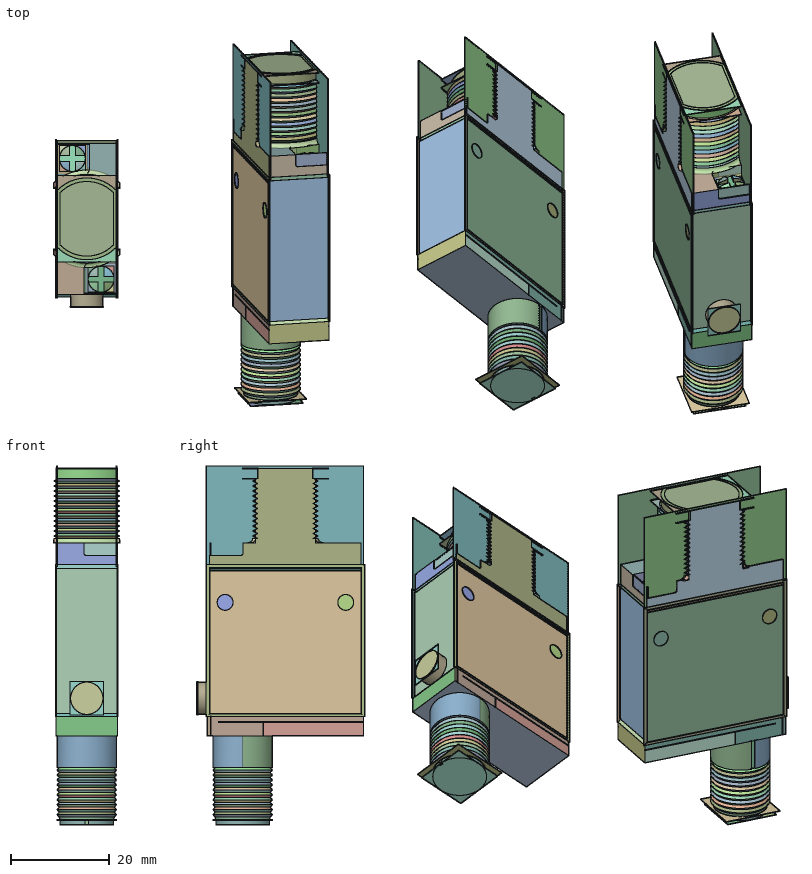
import cadquery as cq
import math

CAP_BOTTOM = 18.0
MIDDLE_BOTTOM = 21.9
MIDDLE_TOP = 52.6
SHOULDER_TOP = 57.05
HALF_X = 6.2
HALF_Y = 15.3
CAP_HALF_X = 6.25
CAP_HALF_Y = 15.8
CAP_BEVEL_HEIGHT = 0.6
BAND_DEPTH = 0.1
BAND_HEIGHT = 0.7
OVERLAP = 0.35

SHEET_TOP = 72.6
SHEET_THICKNESS = 0.2
UPRIGHT_OUTER_X = 6.1
SIDE_OUTER_X = 6.3
SHEET_HALF_Y = 16.05
UPRIGHT_BACK_Y = 15.8

THREAD_PITCH = 1.0
TOWER_CREST_RADIUS = 9.0
TOWER_ROOT_RADIUS = 8.35
TOWER_THREAD_TOP = 70.0
FLARE_RADIUS = 0.9
TOWER_THREAD_BOTTOM = SHOULDER_TOP + FLARE_RADIUS
COLLAR_RADIUS = 8.3
TOWER_TOP = 72.1
TIP_WIDTH = 13.4
TIP_START_Y = 6.1
FLANGE_HALF_Y = 8.7
FLANGE_THICKNESS = 0.15
LENS_RADIUS = 7.55
LENS_HALF_X = 5.4
LENS_LINE_DEPTH = 0.1

POCKET_FLOOR = 54.5
POCKET_INNER_Y = 8.55
POCKET_OVERSHOOT_X = 0.6
POCKET_ROUND = 0.4
POCKET_CORNER_ROUND = 1.75
END_WALL = 0.3
END_NOTCH_DEPTH = 0.1
SCREW_X = 2.9
SCREW_Y = 12.2
SCREW_RADIUS = 2.6
SCREW_HEIGHT = 1.9
SCREW_RIM_HEIGHT = 1.15
SCREW_SLOT_WIDTH = 1.15
SCREW_SLOT_FLOOR = 0.9
WASHER_SIDE = 5.2
WASHER_HEIGHT = 0.6

MARKER_RADIUS = 1.6
MARKER_Y = 12.2
MARKER_Z = 45.0
MARKER_DEPTH = 0.15

SEAM_WIDTH = 0.15
SEAM_DEPTH = 0.1
MIDDLE_SEAMS_Z = (22.5, 51.45, 51.95)
CAP_SEAM_Z = 20.8
CAP_SEAM_START_Y = -13.5
CAP_JOINT_Y = -4.5
CAP_EDGE_SEAM_Y = -15.1

BUTTON_RADIUS = 3.3
BUTTON_Z = 25.6
BUTTON_LENGTH = 2.6
BUTTON_RECESS = 0.1
BUTTON_PLATE_SIDE = 6.8
BUTTON_PLATE_THICKNESS = 0.15

CONNECTOR_Y = -8.6
CONNECTOR_CREST_RADIUS = 6.0
CONNECTOR_ROOT_RADIUS = 5.6
CONNECTOR_THREAD_TOP = 11.6
CONNECTOR_THREAD_BOTTOM = 1.6
CONNECTOR_TIP_RADIUS = 5.45
CONNECTOR_SHOULDER_Z = 0.95
CONNECTOR_PLATE_THICKNESS = 0.15
KEYWAY_WIDTH = 0.9
KEYWAY_DEPTH = 0.3
TIP_NOTCH_WIDTH = 0.7
TIP_NOTCH_DEPTH = 0.4


def box(x0, x1, y0, y1, z0, z1):
    """Block spanning the given limits."""
    return cq.Workplane("XY").box(x1 - x0, y1 - y0, z1 - z0, centered=False).translate((x0, y0, z0))


def thread_points(root, crest, bottom, top):
    """Zigzag half-profile of evenly spaced thread ridges, from bottom to top."""
    ridge_count = round((top - bottom) / THREAD_PITCH)
    pitch = (top - bottom) / ridge_count
    points = [(root, bottom)]
    for ridge in range(ridge_count):
        points.append((crest, bottom + (ridge + 0.5) * pitch))
        points.append((root, bottom + (ridge + 1) * pitch))
    return points


def side_core(half_x):
    """Full-height block used to limit engravings to a shallow depth on the X sides."""
    return box(-half_x, half_x, -SHEET_HALF_Y, SHEET_HALF_Y, CAP_BOTTOM, SHOULDER_TOP)


def make_housing():
    """Cap with sloping ledges on its Y sides, and body with a shallow band across both Y faces."""
    ledge_top = MIDDLE_BOTTOM + CAP_BEVEL_HEIGHT
    cap_outline = [
        (-CAP_HALF_Y, CAP_BOTTOM), (CAP_HALF_Y, CAP_BOTTOM), (CAP_HALF_Y, MIDDLE_BOTTOM),
        (HALF_Y, ledge_top), (-HALF_Y, ledge_top), (-CAP_HALF_Y, MIDDLE_BOTTOM),
    ]
    cap = cq.Workplane("YZ").polyline(cap_outline).close().extrude(CAP_HALF_X, both=True)
    body = box(-HALF_X, HALF_X, -HALF_Y, HALF_Y, MIDDLE_BOTTOM, SHOULDER_TOP)
    band_half_y = HALF_Y - BAND_DEPTH
    band_bottom = MIDDLE_TOP - BAND_HEIGHT
    band = box(-HALF_X, HALF_X, -HALF_Y, HALF_Y, band_bottom, MIDDLE_TOP)
    band = band.cut(box(-HALF_X, HALF_X, -band_half_y, band_half_y, band_bottom, MIDDLE_TOP))
    return cap.union(body.cut(band))


def make_sheets(outer_x, y0, y1, z0, z1):
    """Matching pair of thin sheets on the two X sides."""
    inner_x = outer_x - SHEET_THICKNESS
    left = box(-outer_x, -inner_x, y0, y1, z0, z1)
    return left.union(box(inner_x, outer_x, y0, y1, z0, z1))


def make_seams(outer_x, lines):
    """Cutter for fine seam lines on both X sides, each line running from (y0, z0) to (y1, z1)."""
    half_seam = SEAM_WIDTH / 2
    core = side_core(outer_x - SEAM_DEPTH)
    seams = cq.Workplane("XY")
    for y0, z0, y1, z1 in lines:
        line = box(-outer_x, outer_x, y0 - half_seam, y1 + half_seam, z0 - half_seam, z1 + half_seam)
        seams = seams.add(line.cut(core))
    return seams.combine()


def make_end_notch():
    """Cutter that sets the thin end wall of the +X, -Y pocket slightly back from the shoulder face."""
    notch = box(
        -POCKET_OVERSHOOT_X, HALF_X, -HALF_Y, -HALF_Y + END_NOTCH_DEPTH,
        POCKET_FLOOR, SHOULDER_TOP,
    )
    return notch.edges("<X and <Z").fillet(POCKET_ROUND)


def make_pocket():
    """Cutter for the screw pocket in the +X, -Y corner."""
    pocket = box(
        -POCKET_OVERSHOOT_X, HALF_X, -HALF_Y + END_WALL, -POCKET_INNER_Y,
        POCKET_FLOOR, SHOULDER_TOP + OVERLAP,
    )
    pocket = pocket.edges("|Z and <X and >Y").fillet(POCKET_CORNER_ROUND)
    return pocket.edges("|Y and <X and <Z").fillet(POCKET_ROUND)


def make_screw():
    """Domed, cross-slotted screw head on a thin square washer, in the +X, -Y pocket."""
    shoulder_x = SCREW_RADIUS * math.sqrt(0.5)
    shoulder_z = SCREW_RIM_HEIGHT + 0.5 * (SCREW_HEIGHT - SCREW_RIM_HEIGHT)
    head = (
        cq.Workplane("XZ")
        .moveTo(0, -OVERLAP)
        .lineTo(SCREW_RADIUS, -OVERLAP)
        .lineTo(SCREW_RADIUS, SCREW_RIM_HEIGHT)
        .threePointArc((shoulder_x, shoulder_z), (0, SCREW_HEIGHT))
        .close()
        .revolve(360, (0, 0, 0), (0, 1, 0))
    )
    slot_length = 2 * SCREW_RADIUS
    slot_base = cq.Workplane("XY", origin=(0, 0, SCREW_SLOT_FLOOR))
    for size in ((slot_length, SCREW_SLOT_WIDTH), (SCREW_SLOT_WIDTH, slot_length)):
        head = head.cut(slot_base.rect(*size).extrude(SCREW_HEIGHT))
    half_washer = WASHER_SIDE / 2
    washer = box(-half_washer, half_washer, -half_washer, half_washer, -OVERLAP, WASHER_HEIGHT)
    return head.union(washer).translate((SCREW_X, -SCREW_Y, POCKET_FLOOR))


def make_tower():
    """Threaded tower with a flared foot, cut to flats that let the thread tips stick out."""
    flare_outer = TOWER_CREST_RADIUS + FLARE_RADIUS
    flare_mid = flare_outer - FLARE_RADIUS * math.sqrt(0.5)
    flare_mid_z = TOWER_THREAD_BOTTOM - FLARE_RADIUS * math.sqrt(0.5)
    thread = thread_points(TOWER_ROOT_RADIUS, TOWER_CREST_RADIUS, TOWER_THREAD_BOTTOM, TOWER_THREAD_TOP)
    turned = (
        cq.Workplane("XZ")
        .moveTo(0, SHOULDER_TOP - OVERLAP)
        .lineTo(POCKET_INNER_Y, SHOULDER_TOP - OVERLAP)
        .lineTo(POCKET_INNER_Y, SHOULDER_TOP)
        .lineTo(flare_outer, SHOULDER_TOP)
        .threePointArc((flare_mid, flare_mid_z), (TOWER_CREST_RADIUS, TOWER_THREAD_BOTTOM))
        .polyline(thread, includeCurrent=True)
        .lineTo(COLLAR_RADIUS, TOWER_THREAD_TOP)
        .lineTo(COLLAR_RADIUS, TOWER_TOP)
        .lineTo(0, TOWER_TOP)
        .close()
        .revolve(360, (0, 0, 0), (0, 1, 0))
    )
    reach = flare_outer + OVERLAP
    bottom = SHOULDER_TOP - OVERLAP
    envelope = box(-HALF_X, HALF_X, -reach, reach, bottom, TOWER_TOP)
    for y0, y1 in ((-reach, -TIP_START_Y), (TIP_START_Y, reach)):
        envelope = envelope.union(box(-TIP_WIDTH / 2, TIP_WIDTH / 2, y0, y1, bottom, TOWER_TOP))
    tower = turned.intersect(envelope)
    for top in (TOWER_TOP, TOWER_THREAD_TOP):
        tower = tower.union(
            box(-HALF_X, HALF_X, -FLANGE_HALF_Y, FLANGE_HALF_Y, top - FLANGE_THICKNESS, top)
        )
    return tower


def make_lens_line():
    """Shallow groove around the flat-sided lens window in the tower top."""
    base = cq.Workplane("XY", origin=(0, 0, TOWER_TOP - LENS_LINE_DEPTH))

    def window(radius, half_x):
        disc = base.circle(radius).extrude(OVERLAP)
        return disc.intersect(base.rect(2 * half_x, 2 * radius).extrude(OVERLAP))

    return window(COLLAR_RADIUS, HALF_X).cut(window(LENS_RADIUS, LENS_HALF_X))


def make_markers():
    """Cutter for the shallow round markers on both X sides."""
    spots = [(-MARKER_Y, MARKER_Z), (MARKER_Y, MARKER_Z)]
    through = cq.Workplane("YZ", origin=(-SIDE_OUTER_X, 0, 0)).pushPoints(spots)
    discs = through.circle(MARKER_RADIUS).extrude(2 * SIDE_OUTER_X)
    return discs.cut(side_core(SIDE_OUTER_X - MARKER_DEPTH))


def make_button():
    """Round button with a thin square plate just behind its end."""
    base = cq.Workplane("XZ", origin=(0, -HALF_Y + OVERLAP, BUTTON_Z))
    button = base.circle(BUTTON_RADIUS).extrude(BUTTON_LENGTH + OVERLAP)
    plate_start = BUTTON_LENGTH + OVERLAP - BUTTON_RECESS - BUTTON_PLATE_THICKNESS
    plate = base.workplane(offset=plate_start).rect(BUTTON_PLATE_SIDE, BUTTON_PLATE_SIDE)
    return button.union(plate.extrude(BUTTON_PLATE_THICKNESS))


def make_connector():
    """Threaded connector with a keyway, built on the Z axis and moved into place."""
    thread = thread_points(
        CONNECTOR_ROOT_RADIUS, CONNECTOR_CREST_RADIUS, CONNECTOR_THREAD_BOTTOM, CONNECTOR_THREAD_TOP
    )
    connector = (
        cq.Workplane("XZ")
        .moveTo(0, 0)
        .lineTo(CONNECTOR_TIP_RADIUS, 0)
        .lineTo(CONNECTOR_TIP_RADIUS, CONNECTOR_SHOULDER_Z)
        .polyline(thread, includeCurrent=True)
        .lineTo(CONNECTOR_CREST_RADIUS, CONNECTOR_THREAD_TOP)
        .lineTo(CONNECTOR_CREST_RADIUS, CAP_BOTTOM + OVERLAP)
        .lineTo(0, CAP_BOTTOM + OVERLAP)
        .close()
        .revolve(360, (0, 0, 0), (0, 1, 0))
    )
    for half_side, bottom in (
        (CONNECTOR_TIP_RADIUS, 0),
        (CONNECTOR_CREST_RADIUS, CONNECTOR_SHOULDER_Z),
    ):
        top = bottom + CONNECTOR_PLATE_THICKNESS
        connector = connector.union(box(-half_side, half_side, -half_side, half_side, bottom, top))
    half_key = KEYWAY_WIDTH / 2
    keyway = box(
        -CONNECTOR_CREST_RADIUS, -CONNECTOR_CREST_RADIUS + KEYWAY_DEPTH,
        -half_key, half_key, CONNECTOR_THREAD_TOP, CAP_BOTTOM,
    )
    half_notch = TIP_NOTCH_WIDTH / 2
    notch = box(
        -half_notch, half_notch, -CONNECTOR_CREST_RADIUS, -CONNECTOR_TIP_RADIUS + TIP_NOTCH_DEPTH,
        CONNECTOR_PLATE_THICKNESS, CONNECTOR_SHOULDER_Z,
    )
    return connector.cut(keyway).cut(notch).translate((0, CONNECTOR_Y, 0))


result = make_housing()
result = result.union(make_sheets(SIDE_OUTER_X, -SHEET_HALF_Y, SHEET_HALF_Y, MIDDLE_BOTTOM, MIDDLE_TOP))
middle_seams = [(-HALF_Y, z, HALF_Y, z) for z in MIDDLE_SEAMS_Z]
middle_seams += [(y, MIDDLE_SEAMS_Z[0], y, MIDDLE_SEAMS_Z[-1]) for y in (-HALF_Y, HALF_Y)]
cap_seams = [
    (CAP_SEAM_START_Y, CAP_SEAM_Z, CAP_HALF_Y, CAP_SEAM_Z),
    (CAP_JOINT_Y, CAP_BOTTOM, CAP_JOINT_Y, CAP_SEAM_Z),
    (CAP_EDGE_SEAM_Y, CAP_BOTTOM, CAP_EDGE_SEAM_Y, MIDDLE_BOTTOM),
]
result = result.cut(make_markers())
result = result.cut(make_seams(SIDE_OUTER_X, middle_seams))
result = result.cut(make_seams(CAP_HALF_X, cap_seams))
for angle in (0, 180):
    result = result.cut(make_pocket().rotate((0, 0, 0), (0, 0, 1), angle))
    result = result.cut(make_end_notch().rotate((0, 0, 0), (0, 0, 1), angle))
    result = result.union(make_screw().rotate((0, 0, 0), (0, 0, 1), angle))
result = result.union(make_tower()).cut(make_lens_line())
result = result.union(
    make_sheets(UPRIGHT_OUTER_X, -SHEET_HALF_Y, UPRIGHT_BACK_Y, MIDDLE_TOP - OVERLAP, SHEET_TOP)
)
result = result.union(make_button()).union(make_connector())